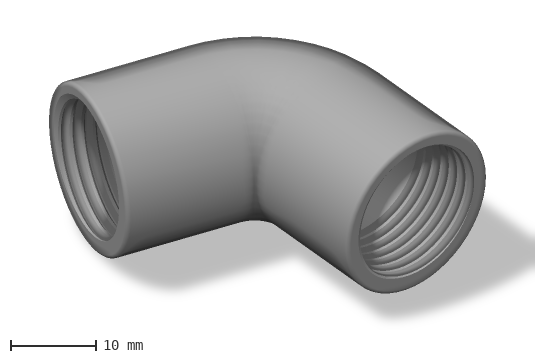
import cadquery as cq

outer_diameter = 21.6
bore_diameter = 17.2
leg_length = 16.5
bend_angle = 75.0
throat_radius = 0.25
rim_fillet = 0.5

thread_pitch = 1.5
thread_depth = 0.75
thread_turns = 7
runout_turns = 1
thread_start_angle = 120.0
root_flat = thread_pitch / 8
crest_flat = thread_pitch / 4
bore_overlap = 0.13

outer_radius = outer_diameter / 2
bore_radius = bore_diameter / 2
bend_radius = outer_radius + throat_radius


def at_far_mouth(leg):
    """Move a leg built at the -Y mouth to the other end of the elbow."""
    reversed_leg = leg.rotate((0, leg_length, 0), (0, leg_length, 1), 180)
    pivot = (bend_radius, leg_length, 0)
    pivot_top = (bend_radius, leg_length, 1)
    return reversed_leg.rotate(pivot, pivot_top, -bend_angle)


def leg_cylinder(radius):
    """Straight leg along Y, from its mouth at Y = 0 to the bend."""
    return cq.Workplane("XZ").circle(radius).extrude(-leg_length)


def bend(radius):
    """Curved middle, turning from +Y toward +X."""
    return (
        cq.Workplane("XZ", origin=(0, leg_length, 0))
        .circle(radius)
        .revolve(bend_angle, (bend_radius, 0, 0), (bend_radius, -1, 0))
    )


def elbow(leg, middle):
    return leg.union(middle).union(at_far_mouth(leg))


def thread_cutter():
    """Helical V groove with a flat root, running out through the mouth."""
    inner_radius = bore_radius - bore_overlap
    root_radius = bore_radius + thread_depth
    groove_half_width = (thread_pitch - crest_flat) / 2
    flank_slope = (groove_half_width - root_flat / 2) / thread_depth
    inner_half_width = groove_half_width + bore_overlap * flank_slope
    helix_length = (thread_turns + runout_turns) * thread_pitch
    path = cq.Wire.makeHelix(thread_pitch, helix_length, bore_radius)
    groove = (
        cq.Workplane("XZ")
        .polyline([
            (inner_radius, -inner_half_width),
            (root_radius, -root_flat / 2),
            (root_radius, root_flat / 2),
            (inner_radius, inner_half_width),
        ])
        .close()
        .sweep(cq.Workplane(obj=path), isFrenet=True)
    )
    along_leg = groove.rotate((0, 0, 0), (1, 0, 0), -90)
    phased = along_leg.rotate((0, 0, 0), (0, 1, 0), -thread_start_angle)
    return phased.translate((0, -runout_turns * thread_pitch, 0))


outer_leg = leg_cylinder(outer_radius).faces("<Y").edges().fillet(rim_fillet)
body = elbow(outer_leg, bend(outer_radius))
bore = elbow(leg_cylinder(bore_radius), bend(bore_radius))
result = body.cut(bore)

groove = thread_cutter()
for cutter in (groove, at_far_mouth(groove)):
    result = result.cut(cutter)